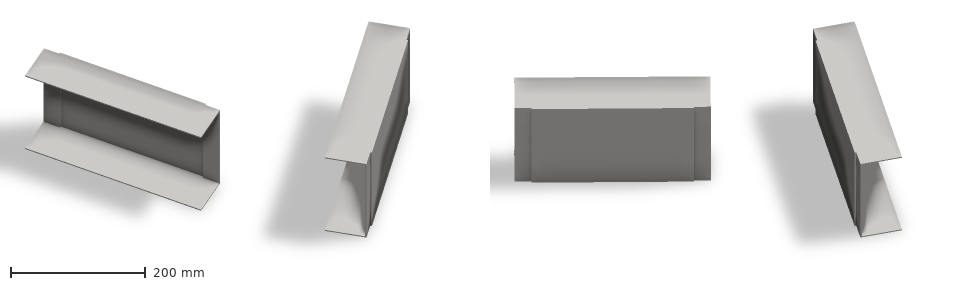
import cadquery as cq

length = 291.0
depth = 65.9
height = 155.1

sheet = 2.2
panel_length = 241.0
panel_offset = 2.5

inner_height = height - 2 * sheet
recess_length = panel_length - 2 * sheet
recess_floor = depth - sheet
end_back = depth - panel_offset
end_front = end_back - sheet


def box(x_size, y_start, y_end, z_size):
    """Box centred on X and Z that runs from y_start to y_end."""
    centre = (0, (y_start + y_end) / 2, 0)
    return cq.Workplane("XY").box(x_size, y_end - y_start, z_size).translate(centre)


def channel():
    """C-shaped channel along X, open toward -Y."""
    outside = box(length, 0, end_back, height)
    opening = box(length, 0, end_front, inner_height)
    return outside.cut(opening)


def add_offset_panel(body):
    """Step the middle of the web back, leaving a recess on its front side."""
    panel = box(panel_length, end_front, depth, height)
    recess = box(recess_length, end_front, recess_floor, inner_height)
    return body.union(panel).cut(recess)


result = add_offset_panel(channel())